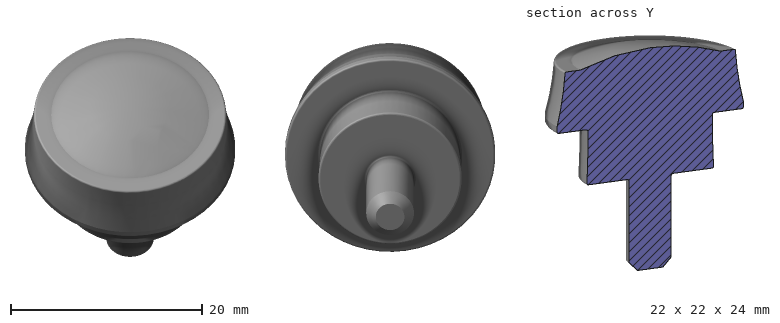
import cadquery as cq
import math

stud_length = 10.0
collar_height = 6.0
rim_height = 0.8
overall_height = 24.0
dome_rise = 1.4

head_radius = 22.0 / 2
head_top_radius = 10.05
head_waist_radius = 10.38
dome_sphere_radius = 25.0
collar_base_radius = 7.5
collar_waist_radius = 7.38
collar_top_radius = 7.35
stud_radius = 5.0 / 2

stud_chamfer = 1.0
edge_fillet = 0.2
match_tolerance = 1e-3

stud_tip = -stud_length
dome_top = overall_height - stud_length
head_top = dome_top - dome_rise
rim_top = collar_height + rim_height
head_waist_height = (rim_top + head_top) / 2
collar_waist_height = collar_height / 2
dome_base_radius = math.sqrt(dome_sphere_radius**2 - (dome_sphere_radius - dome_rise) ** 2)


def turned_knob():
    """Revolve the half section of the knob about the Z axis, drawn from the stud tip upward."""
    half_section = (
        cq.Workplane("XZ")
        .moveTo(0, stud_tip)
        .lineTo(stud_radius - stud_chamfer, stud_tip)
        .lineTo(stud_radius, stud_tip + stud_chamfer)
        .lineTo(stud_radius, 0)
        .lineTo(collar_base_radius, 0)
        .threePointArc((collar_waist_radius, collar_waist_height), (collar_top_radius, collar_height))
        .lineTo(head_radius, collar_height)
        .lineTo(head_radius, rim_top)
        .threePointArc((head_waist_radius, head_waist_height), (head_top_radius, head_top))
        .lineTo(dome_base_radius, head_top)
        .radiusArc((0, dome_top), -dome_sphere_radius)
        .close()
    )
    return half_section.revolve(360, (0, 0, 0), (0, 1, 0))


def circular_edge(body, radius, height):
    """Find the circular edge of the given radius at the given height."""
    for edge in body.edges("%CIRCLE").vals():
        same_height = abs(edge.Center().z - height) < match_tolerance
        full_circle = abs(edge.Length() - 2 * math.pi * radius) < match_tolerance
        if same_height and full_circle:
            return edge
    raise ValueError("No circular edge of this radius at this height")


def round_edges(body):
    """Blend the inner corners and break the outer corners of the knob."""
    corners = [
        (stud_radius, 0),
        (collar_base_radius, 0),
        (collar_top_radius, collar_height),
        (head_radius, collar_height),
        (head_top_radius, head_top),
    ]
    edges = [circular_edge(body, radius, height) for radius, height in corners]
    return body.newObject(edges).fillet(edge_fillet)


result = round_edges(turned_knob())